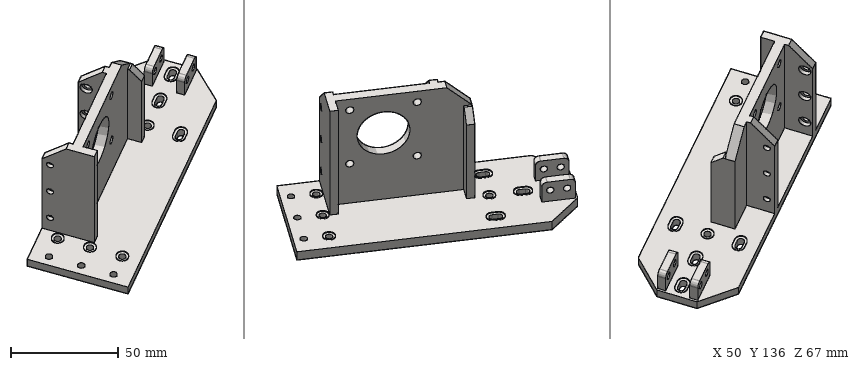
import cadquery as cq

BASE_WIDTH = 50.0
BASE_LENGTH = 136.0
BASE_THICKNESS = 5.0
BASE_CORNER_CHAMFER = 15.0
CENTER_X = BASE_WIDTH / 2

TOTAL_HEIGHT = 67.0
WALL_X = 14.0
WALL_THICKNESS = 5.0
WALL_BACK_X = WALL_X + WALL_THICKNESS
WALL_END_Y = 89.0
UPRIGHT_CHAMFER = 12.0

MOTOR_Y = 47.0
MOTOR_Z = 44.5
SIDE_SPAN = 53.6
SIDE_THICKNESS = 4.0
SIDE_WIDTH = 26.0
SIDE_FRONT_Y = MOTOR_Y - SIDE_SPAN / 2
SIDE_REAR_Y = MOTOR_Y + SIDE_SPAN / 2

MOTOR_BORE = 25.0
MOTOR_SCREW_DIAMETER = 3.8
MOTOR_SCREW_SPACING = 32.0

SCREW_DIAMETER = 3.4
HEAD_DIAMETER = 6.0
HEAD_DEPTH = 0.5
SIDE_HEAD_DEPTH = 2.0
SLOT_TRAVEL = 3.0

SIDE_SCREW_X = 4.0
SIDE_SCREW_MID_Z = 33.0
SIDE_SCREW_PITCH = 19.0

BASE_PITCH_X = 16.0
PLAIN_ROW_Y = 5.0
FRONT_ROW_Y = 17.0
REAR_ROW_Y = 96.0
CENTER_SLOT_YS = (112.0, 129.0)

LUG_THICKNESS = 4.0
LUG_LENGTH = 16.0
LUG_START_Y = 119.0
LUG_HEIGHT = 11.5
LUG_CORNER_RADIUS = 2.5
LUG_OUTER_SPAN = 20.0
LUG_HOLE_SPACING = 8.0
LUG_HOLE_HEIGHT = 6.5

FLANGE_CHAMFER = 6.0
FLANGE_TOP_Z = TOTAL_HEIGHT - UPRIGHT_CHAMFER


def block(x, y, z, dx, dy, dz):
    """Box with its lowest corner at (x, y, z)."""
    return cq.Workplane("XY").box(dx, dy, dz, centered=False).translate((x, y, z))


def rod_x(y, z, diameter):
    """Cutter through the whole part along X."""
    return cq.Workplane("YZ").center(y, z).circle(diameter / 2).extrude(BASE_WIDTH)


def make_base():
    plate = block(0, 0, 0, BASE_WIDTH, BASE_LENGTH, BASE_THICKNESS)
    return plate.edges("|Z and >Y").chamfer(BASE_CORNER_CHAMFER)


def make_motor_wall():
    length = WALL_END_Y - SIDE_FRONT_Y
    wall = block(WALL_X, SIDE_FRONT_Y, 0, WALL_THICKNESS, length, TOTAL_HEIGHT)
    return wall.edges("|X and >Y and >Z").chamfer(UPRIGHT_CHAMFER)


def make_side_plate(y, width):
    plate = block(0, y, 0, width, SIDE_THICKNESS, TOTAL_HEIGHT)
    return plate.edges("|Y and <X and >Z").chamfer(UPRIGHT_CHAMFER)


def make_end_flange():
    y = WALL_END_Y - SIDE_THICKNESS
    flange = block(WALL_X, y, 0, SIDE_WIDTH - WALL_X, SIDE_THICKNESS, FLANGE_TOP_Z)
    return flange.edges("|Y and >X and >Z").chamfer(FLANGE_CHAMFER)


def make_lug(x):
    height = BASE_THICKNESS + LUG_HEIGHT
    lug = block(x, LUG_START_Y, 0, LUG_THICKNESS, LUG_LENGTH, height)
    lug = lug.edges("|X and >Z").fillet(LUG_CORNER_RADIUS)
    middle_y = LUG_START_Y + LUG_LENGTH / 2
    for side in (-1, 1):
        hole_y = middle_y + side * LUG_HOLE_SPACING / 2
        lug = lug.cut(rod_x(hole_y, BASE_THICKNESS + LUG_HOLE_HEIGHT, SCREW_DIAMETER))
    return lug


def cut_motor_openings(body):
    body = body.cut(rod_x(MOTOR_Y, MOTOR_Z, MOTOR_BORE))
    offset = MOTOR_SCREW_SPACING / 2
    for side_y in (-1, 1):
        for side_z in (-1, 1):
            y = MOTOR_Y + side_y * offset
            z = MOTOR_Z + side_z * offset
            body = body.cut(rod_x(y, z, MOTOR_SCREW_DIAMETER))
    return body


def cut_side_screws(body):
    """Holes along Y, with head recesses on the two facing inner sides."""
    inner_span = SIDE_SPAN - 2 * SIDE_THICKNESS
    recess_span = inner_span + 2 * SIDE_HEAD_DEPTH
    for step in (-1, 0, 1):
        z = SIDE_SCREW_MID_Z + step * SIDE_SCREW_PITCH
        middle = cq.Workplane("XZ", origin=(SIDE_SCREW_X, MOTOR_Y, z))
        body = body.cut(middle.circle(SCREW_DIAMETER / 2).extrude(SIDE_SPAN / 2, both=True))
        body = body.cut(middle.circle(HEAD_DIAMETER / 2).extrude(recess_span / 2, both=True))
    return body


def cut_base_screw(body, x, y):
    top = cq.Workplane("XY", origin=(x, y, BASE_THICKNESS))
    body = body.cut(top.circle(SCREW_DIAMETER / 2).extrude(-BASE_THICKNESS))
    return body.cut(top.circle(HEAD_DIAMETER / 2).extrude(-HEAD_DEPTH))


def cut_base_slot(body, x, y):
    top = cq.Workplane("XY", origin=(x, y, BASE_THICKNESS))
    slot = top.slot2D(SLOT_TRAVEL + SCREW_DIAMETER, SCREW_DIAMETER, 90).extrude(-BASE_THICKNESS)
    recess = top.slot2D(SLOT_TRAVEL + HEAD_DIAMETER, HEAD_DIAMETER, 90).extrude(-HEAD_DEPTH)
    return body.cut(slot).cut(recess)


def cut_base_openings(body):
    for step in (-1, 0, 1):
        x = CENTER_X + step * BASE_PITCH_X
        plain_hole = cq.Workplane("XY").center(x, PLAIN_ROW_Y).circle(SCREW_DIAMETER / 2)
        body = body.cut(plain_hole.extrude(BASE_THICKNESS))
        body = cut_base_screw(body, x, FRONT_ROW_Y)
    body = cut_base_screw(body, CENTER_X, REAR_ROW_Y)
    for side in (-1, 1):
        body = cut_base_slot(body, CENTER_X + side * BASE_PITCH_X, REAR_ROW_Y)
    for y in CENTER_SLOT_YS:
        body = cut_base_slot(body, CENTER_X, y)
    return body


body = make_base().union(make_motor_wall()).union(make_end_flange())
body = body.union(make_side_plate(SIDE_FRONT_Y, SIDE_WIDTH))
body = body.union(make_side_plate(SIDE_REAR_Y - SIDE_THICKNESS, WALL_BACK_X))
body = cut_motor_openings(body)
body = cut_side_screws(body)
body = cut_base_openings(body)
lug_left_x = CENTER_X - LUG_OUTER_SPAN / 2
lug_right_x = CENTER_X + LUG_OUTER_SPAN / 2 - LUG_THICKNESS
result = body.union(make_lug(lug_left_x)).union(make_lug(lug_right_x))